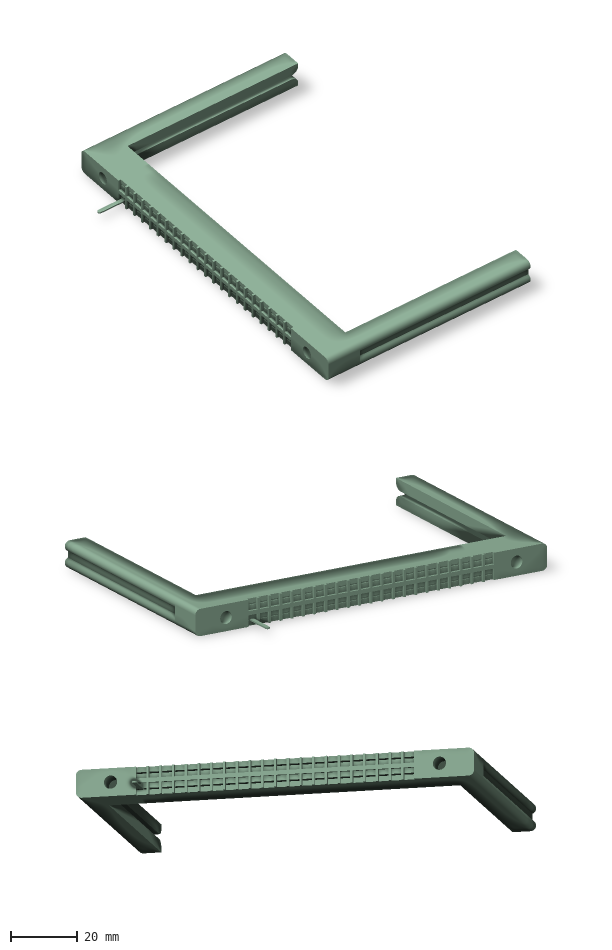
import cadquery as cq
import math

frame_width = 123.8
frame_length = 76.3
frame_height = 8.7
spine_depth = 11.9
arm_width = 7.3
mid_height = frame_height / 2

edge_radius = 1.7
lip_radius = 1.6
outer_groove_depth = 1.1

card_slot_height = 1.6
card_slot_depth = 3.1
mouth_radius = 2.5

hole_diameter = 4.1
hole_depth = 6.2
hole_edge_distance = 10.8

cell_count = 22
cell_pitch = 4.0
cell_width = 3.2
cell_depth = 0.9
middle_bar_height = 1.4
slit_height = 0.5
slit_depth = 5.0
slit_offset = 2.5

pin_width = 1.4
pin_reach = 9.0
pin_tip_chamfer = 0.4

first_cell_x = -(cell_count - 1) * cell_pitch / 2
arm_length = frame_length - spine_depth


def box(x_size, y_size, z_size, x_middle, y_front, z_middle):
    """Block centred in X and Z that starts at y_front and runs toward +Y."""
    return cq.Workplane("XY").box(x_size, y_size, z_size, centered=(True, False, True)).translate(
        (x_middle, y_front, z_middle)
    )


def make_frame_blank():
    """U-shaped frame with its four long outer edges rounded."""
    blank = box(frame_width, frame_length, frame_height, 0, 0, mid_height)
    blank = blank.edges("|Y").fillet(edge_radius)
    opening = box(frame_width - 2 * arm_width, arm_length, frame_height, 0, spine_depth, mid_height)
    return blank.cut(opening)


def lip_rise(depth):
    """Height that a groove lip has climbed above its crest at a depth below the arm's side."""
    return math.sqrt(lip_radius**2 - (lip_radius - depth) ** 2)


def outer_groove():
    """Groove in the outer side of the left arm, entered over convex lips that end at its flat floor."""
    side = -frame_width / 2
    floor = side + outer_groove_depth
    rise = lip_rise(outer_groove_depth)
    half_rise = lip_rise(outer_groove_depth / 2)
    halfway = side + outer_groove_depth / 2
    top = frame_height - edge_radius
    bottom = edge_radius
    return (
        cq.Workplane("XZ", origin=(0, frame_length, 0))
        .moveTo(side, top)
        .threePointArc((halfway, top - half_rise), (floor, top - rise))
        .lineTo(floor, bottom + rise)
        .threePointArc((halfway, bottom + half_rise), (side, bottom))
        .close()
        .extrude(arm_length)
    )


def card_slot():
    """Slot in the inner side of the left arm, with edges rounded outward at the arm's free end."""
    slot_floor = -frame_width / 2 + arm_width - card_slot_depth
    half_slot = card_slot_height / 2
    half_mouth = half_slot + mouth_radius
    mouth_start = frame_length - mouth_radius
    curve = mouth_radius * math.sqrt(0.5)
    return (
        cq.Workplane("YZ", origin=(slot_floor, 0, mid_height))
        .moveTo(spine_depth, -half_slot)
        .lineTo(mouth_start, -half_slot)
        .threePointArc((mouth_start + curve, -half_mouth + curve), (frame_length, -half_mouth))
        .lineTo(frame_length, half_mouth)
        .threePointArc((mouth_start + curve, half_mouth - curve), (mouth_start, half_slot))
        .lineTo(spine_depth, half_slot)
        .close()
        .extrude(card_slot_depth)
    )


def mounting_holes():
    """Blind round holes near both ends of the front face."""
    x = frame_width / 2 - hole_edge_distance
    return (
        cq.Workplane("XZ", origin=(0, 0, mid_height))
        .pushPoints([(-x, 0), (x, 0)])
        .circle(hole_diameter / 2)
        .extrude(-hole_depth)
    )


def contact_cells():
    """Shallow recesses in two rows on the front face, each with a thin slit across it for a contact."""
    cell_height = (frame_height - middle_bar_height) / 2
    cell_offset = (middle_bar_height + cell_height) / 2
    cutters = cq.Workplane("XY")
    for i in range(cell_count):
        x = first_cell_x + i * cell_pitch
        for row in (-1, 1):
            cutters.add(box(cell_width, cell_depth, cell_height, x, 0, mid_height + row * cell_offset))
            cutters.add(box(cell_width, slit_depth, slit_height, x, 0, mid_height + row * slit_offset))
    return cutters.vals()


def make_frame():
    """Connector frame with its grooves, card slots, mounting holes and contact cells."""
    body = make_frame_blank().cut(mounting_holes())
    for cutter in (outer_groove(), card_slot()):
        body = body.cut(cutter).cut(cutter.mirror("YZ"))
    for cutter in contact_cells():
        body = body.cut(cutter)
    return body


def make_pin():
    """Flat contact that fills the depth of the first lower slit, with a chamfered free tip."""
    pin_length = pin_reach + slit_depth
    blade = box(pin_width, pin_length, slit_height, first_cell_x, -pin_reach, mid_height - slit_offset)
    return blade.faces("<Y").edges("|Z").chamfer(pin_tip_chamfer)


frame = make_frame()
pin = make_pin()

result = cq.Compound.makeCompound([frame.val(), pin.val()])